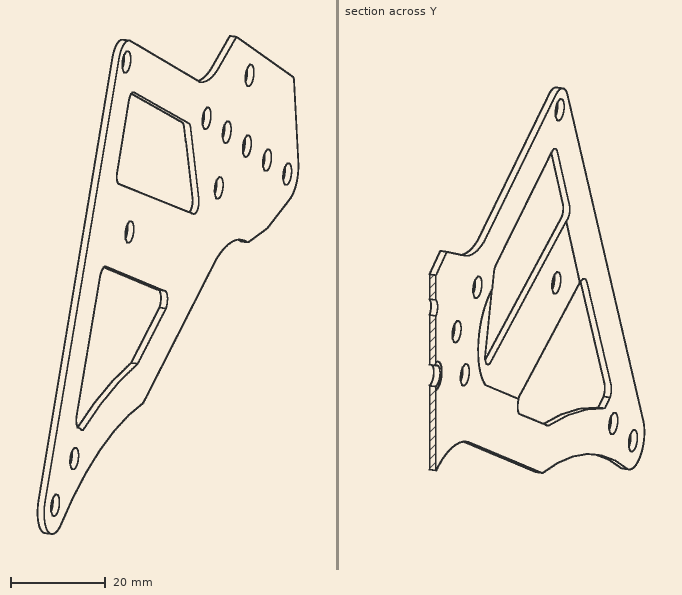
import cadquery as cq
import math

thickness = 1.5
hole_diameter = 4.6
counterbore_diameter = 6.3
recess_depth = 0.07
window_corner_radius = 2.1

row_start = (-63.7, -6.8)
row_pitch = 12.78
row_angle = math.radians(30)
row_count = 5
row_holes = [
    (
        row_start[0] + i * row_pitch * math.cos(row_angle),
        row_start[1] + i * row_pitch * math.sin(row_angle),
    )
    for i in range(row_count)
]
counterbored_hole = row_holes[2]

top_hole = (24.6, 44.3)
tip_hole = (63.7, -42.6)
other_holes = [(-43.0, 21.2), (-26.1, 1.3), (22.9, 6.0), (53.2, -35.3)]

end_radius = 6.1
top_end_radius = 4.6
top_edge_angle = 117.7
long_edge_angle = 24.5
heel_corner_radius = 1.4


def on_circle(center, radius, angle):
    """Point on a circle, at an angle in degrees."""
    turn = math.radians(angle)
    return (center[0] + radius * math.cos(turn), center[1] + radius * math.sin(turn))


def yz_plane(x):
    """Sketch plane at the given X, facing -X, with Z up and -Y to the right."""
    return cq.Workplane(cq.Plane(origin=(x, 0, 0), xDir=(0, -1, 0), normal=(-1, 0, 0)))


back = yz_plane(thickness / 2)
recess_floor = yz_plane(recess_depth - thickness / 2)


def make_plate():
    heel_corner = (-67.3, 13.5)
    plate = (
        back.moveTo(*heel_corner)
        .lineTo(-35.8, 32.0)
        .lineTo(-27.0, 28.3)
        .threePointArc((-21.4, 27.0), (-15.9, 27.8))
        .lineTo(*on_circle(top_hole, top_end_radius, top_edge_angle))
        .threePointArc(
            on_circle(top_hole, top_end_radius, (top_edge_angle + long_edge_angle) / 2),
            on_circle(top_hole, top_end_radius, long_edge_angle),
        )
        .lineTo(*on_circle(tip_hole, end_radius, long_edge_angle))
        .threePointArc(on_circle(tip_hole, end_radius, -45), on_circle(tip_hole, end_radius, -116))
        .threePointArc((39.8, -37.8), (15.4, -34.2))
        .lineTo(-24.6, -14.2)
        .threePointArc((-33.0, -12.8), (-42.2, -15.6))
        .lineTo(-52.6, -15.6)
        .lineTo(*on_circle(row_start, end_radius, -102))
        .threePointArc(on_circle(row_start, end_radius, -145), on_circle(row_start, end_radius, 172.5))
        .close()
        .extrude(thickness)
    )
    corner_edge = cq.selectors.NearestToPointSelector((0, -heel_corner[0], heel_corner[1]))
    return plate.edges("|X").edges(corner_edge).fillet(heel_corner_radius)


def make_upper_window():
    corners = [(-10.3, 20.1), (22.3, 37.3), (30.6, 19.3), (-16.2, -2.2)]
    return back.polyline(corners).close().extrude(thickness).edges("|X").fillet(window_corner_radius)


def make_lower_window():
    return (
        back.moveTo(4.2, -12.5)
        .lineTo(35.3, 2.0)
        .threePointArc((37.4, 2.2), (39.1, 0.8))
        .lineTo(51.8, -26.0)
        .threePointArc((52.1, -27.4), (51.4, -28.9))
        .lineTo(48.6, -30.5)
        .threePointArc((36.3, -27.0), (18.5, -24.6))
        .lineTo(3.0, -16.9)
        .threePointArc((2.1, -15.1), (4.2, -12.5))
        .close()
        .extrude(thickness)
    )


def make_panel_recess():
    return (
        recess_floor.moveTo(-11.6, 15.6)
        .threePointArc((-19.0, 4.9), (-15.1, -4.6))
        .lineTo(5.6, -15.0)
        .lineTo(35.9, 0.8)
        .lineTo(28.0, 18.2)
        .close()
        .extrude(recess_depth)
    )


def make_holes():
    hole_centers = row_holes + other_holes + [top_hole, tip_hole]
    return back.pushPoints(hole_centers).circle(hole_diameter / 2).extrude(thickness)


def make_counterbore():
    return recess_floor.center(*counterbored_hole).circle(counterbore_diameter / 2).extrude(recess_depth)


result = (
    make_plate()
    .cut(make_upper_window())
    .cut(make_lower_window())
    .cut(make_panel_recess())
    .cut(make_holes())
    .cut(make_counterbore())
)